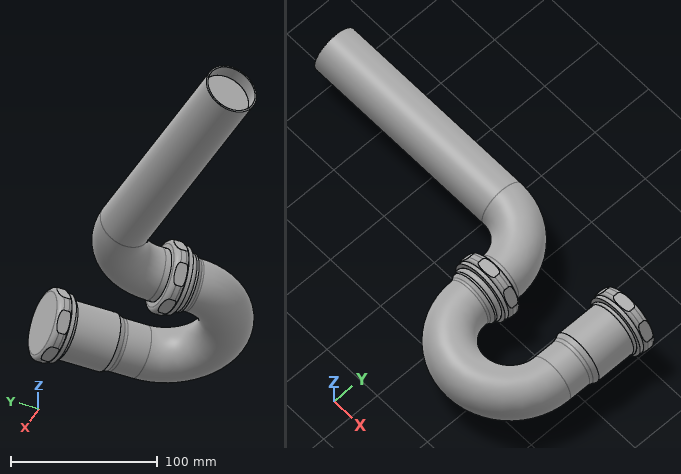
import cadquery as cq
import math

pipe_radius = 19.0
bend_radius = 41.2
outlet_length = 167.0
trap_drop = 70.0
recess_depth = 10.0
recess_radius = 17.7

socket_radius = 21.2
bead_radius = 22.2
inlet_bead_width = 3.0
joint_bead_width = 4.5
cone_length_share = 0.6
cone_step_share = 0.75
inlet_taper_length = 6.5
joint_taper_length = 4.8
inlet_socket_end = -45.5

nut_flat_distance = 50.0
nut_radius = 26.3
nut_top_round = 3.8
nut_bottom_round = 3.0
nut_hex_length = 10.5
collar_radius = 24.7
collar_length = 3.2
nut_length = nut_hex_length + collar_length
inlet_nut_top = 3.2
joint_nut_top = -45.5

joint_x = outlet_length + bend_radius
inlet_x = joint_x + 2 * bend_radius


def make_pipe():
    """Solid pipe following the S-shaped centre line."""
    diagonal = bend_radius * math.sqrt(0.5)
    path = (
        cq.Workplane("XY")
        .lineTo(outlet_length, 0)
        .threePointArc(
            (outlet_length + diagonal, diagonal - bend_radius),
            (joint_x, -bend_radius),
        )
        .lineTo(joint_x, -trap_drop)
        .threePointArc(
            (joint_x + bend_radius, -trap_drop - bend_radius),
            (inlet_x, -trap_drop),
        )
        .lineTo(inlet_x, inlet_nut_top - nut_length)
    )
    return cq.Workplane("YZ").circle(pipe_radius).sweep(path)


def turn(profile, axis_x):
    """Revolve a (radius, Y) profile about a leg axis parallel to Y."""
    return profile.close().revolve(360, (0, 0), (0, 1)).translate((axis_x, 0, 0))


def make_socket(axis_x, mouth, bead_width, taper_start, taper_length):
    """Beaded wide cylinder that narrows to the pipe by a cone and a fillet."""
    cone_step = cone_step_share * (socket_radius - pipe_radius)
    cone_end = (socket_radius - cone_step, taper_start - cone_length_share * taper_length)
    taper_end = taper_start - taper_length
    profile = (
        cq.Workplane("XY")
        .moveTo(0, mouth)
        .lineTo(socket_radius, mouth)
        .threePointArc(
            (bead_radius, mouth - bead_width / 2),
            (socket_radius, mouth - bead_width),
        )
        .lineTo(socket_radius, taper_start)
        .lineTo(*cone_end)
        .tangentArcPoint((pipe_radius, taper_end), relative=False)
        .lineTo(0, taper_end)
    )
    return turn(profile, axis_x)


def make_nut(axis_x, top):
    """Round nut with rolled rims, six flats and a plain collar below them."""
    hex_bottom = top - nut_hex_length
    profile = (
        cq.Workplane("XY")
        .moveTo(0, top)
        .lineTo(nut_radius - nut_top_round, top)
        .tangentArcPoint((nut_radius, top - nut_top_round), relative=False)
        .lineTo(nut_radius, hex_bottom + nut_bottom_round)
        .tangentArcPoint((nut_radius - nut_bottom_round, hex_bottom), relative=False)
        .lineTo(0, hex_bottom)
    )
    corner_distance = nut_flat_distance / math.cos(math.pi / 6)
    hexagon = (
        cq.Workplane("XZ", origin=(axis_x, top, 0))
        .polygon(6, corner_distance)
        .extrude(nut_hex_length)
    )
    collar = (
        cq.Workplane("XZ", origin=(axis_x, hex_bottom, 0))
        .circle(collar_radius)
        .extrude(collar_length)
    )
    return turn(profile, axis_x).intersect(hexagon).union(collar)


def make_joint(axis_x, nut_top, bead_width, taper_start, taper_length):
    """Slip nut and the socket below it on one leg."""
    socket_mouth = nut_top - nut_length
    socket = make_socket(axis_x, socket_mouth, bead_width, taper_start, taper_length)
    return make_nut(axis_x, nut_top).union(socket)


def make_recess():
    """Shallow blind bore in the open end of the outlet leg."""
    return cq.Workplane("YZ").circle(recess_radius).extrude(recess_depth)


joint_socket_end = joint_taper_length - trap_drop

joint_fitting = make_joint(
    joint_x, joint_nut_top, joint_bead_width, joint_socket_end, joint_taper_length
)
inlet_fitting = make_joint(
    inlet_x, inlet_nut_top, inlet_bead_width, inlet_socket_end, inlet_taper_length
)

result = make_pipe().union(joint_fitting).union(inlet_fitting).cut(make_recess())